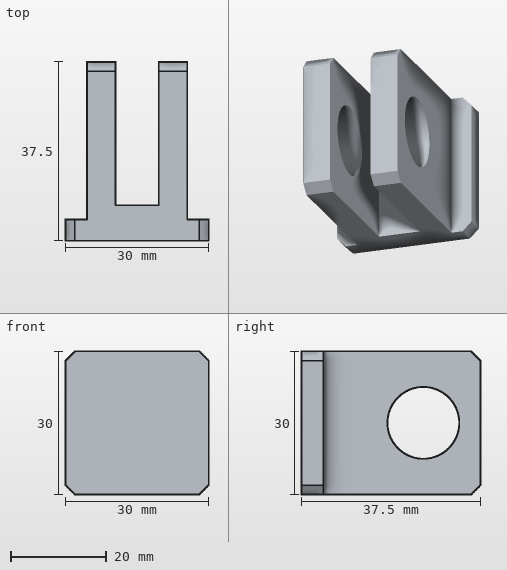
import cadquery as cq

plate_side = 30.0
plate_thickness = 4.5
corner_chamfer = 2.0

total_length = 37.5
fork_width = 21.0
slot_width = 9.0
slot_depth = 30.0

hole_diameter = 15.0
hole_to_tip = 12.0


def box_along_y(width, height, start, end):
    """Box centred on X and Z that spans start to end along Y."""
    return cq.Workplane("XY").box(width, end - start, height).translate((0, (start + end) / 2, 0))


plate = box_along_y(plate_side, plate_side, 0, plate_thickness)
plate = plate.edges("|Y").chamfer(corner_chamfer)

fork = box_along_y(fork_width, plate_side, plate_thickness, total_length)
fork = fork.faces(">Y").edges("|X").chamfer(corner_chamfer)

slot = box_along_y(slot_width, plate_side, total_length - slot_depth, total_length)

pin_hole = (
    cq.Workplane("YZ")
    .center(total_length - hole_to_tip, 0)
    .circle(hole_diameter / 2)
    .extrude(fork_width / 2, both=True)
)

result = plate.union(fork).cut(slot).cut(pin_hole)